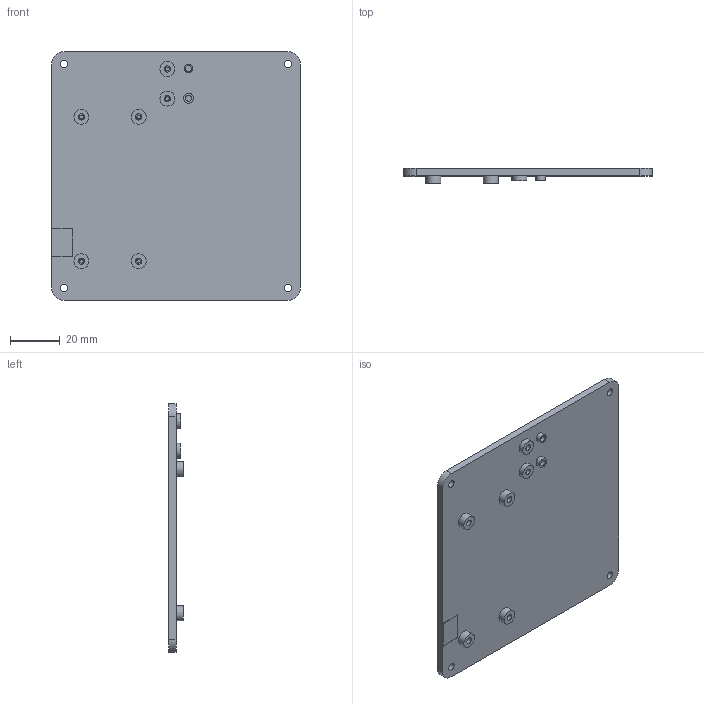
import cadquery as cq

PLATE_SIZE = 100.0
PLATE_THICKNESS = 3.0
CORNER_RADIUS = 5.0
MOUNT_HOLE_INSET = 5.0
MOUNT_HOLE_DIAMETER = 3.0

BOSS_DIAMETER = 6.0
BOSS_HOLE_DIAMETER = 2.5
BOSS_PILOT_DIAMETER = 1.5
TALL_BOSS_HEIGHT = 3.0
LOW_BOSS_HEIGHT = 2.0
PILOT_DEPTH = 1.0

BOARD_LEFT = -38.0
BOARD_TOP = 23.75
BOARD_HOLE_SPACING_X = 23.0
BOARD_HOLE_SPACING_Z = 58.0

LOW_BOSS_X = -3.45
LOW_BOSS_UPPER_Z = 43.0
LOW_BOSS_LOWER_Z = 31.1
RING_X = 5.05
UPPER_RING_Z = 43.15
LOWER_RING_Z = 31.25
UPPER_RING_DIAMETER = 3.5
LOWER_RING_DIAMETER = 4.0
RING_BORE = 2.5

PAD_WIDTH = 8.4
PAD_HEIGHT = 11.0
PAD_THICKNESS = 0.2
PAD_CENTER_Z = -26.75


def cylinder(x, z, diameter, y_start, y_end):
    """Cylinder along Y between two Y positions."""
    length = y_end - y_start
    return cq.Workplane(
        cq.Solid.makeCylinder(diameter / 2, length, cq.Vector(x, y_start, z), cq.Vector(0, 1, 0))
    )


def make_plate():
    plate = (
        cq.Workplane("XY")
        .box(PLATE_SIZE, PLATE_THICKNESS, PLATE_SIZE)
        .translate((0, PLATE_THICKNESS / 2, 0))
        .edges("|Y")
        .fillet(CORNER_RADIUS)
    )
    offset = PLATE_SIZE / 2 - MOUNT_HOLE_INSET
    for x in (-offset, offset):
        for z in (-offset, offset):
            plate = plate.cut(cylinder(x, z, MOUNT_HOLE_DIAMETER, 0, PLATE_THICKNESS))
    return plate


def make_pad():
    """Thin raised pad whose outer side is flush with the left edge of the plate."""
    center_x = (PAD_WIDTH - PLATE_SIZE) / 2
    pad = cq.Workplane("XY").box(PAD_WIDTH, PAD_THICKNESS, PAD_HEIGHT)
    return pad.translate((center_x, -PAD_THICKNESS / 2, PAD_CENTER_Z))


def add_boss(body, x, z, height):
    """Boss with a bore down to the plate and a narrower blind pilot below it."""
    body = body.union(cylinder(x, z, BOSS_DIAMETER, -height, 0))
    body = body.cut(cylinder(x, z, BOSS_HOLE_DIAMETER, -height, 0))
    return body.cut(cylinder(x, z, BOSS_PILOT_DIAMETER, 0, PILOT_DEPTH))


def add_ring(body, z, diameter):
    """Low ring with a bore down to the plate."""
    body = body.union(cylinder(RING_X, z, diameter, -LOW_BOSS_HEIGHT, 0))
    return body.cut(cylinder(RING_X, z, RING_BORE, -LOW_BOSS_HEIGHT, 0))


result = make_plate().union(make_pad())

for boss_x in (BOARD_LEFT, BOARD_LEFT + BOARD_HOLE_SPACING_X):
    for boss_z in (BOARD_TOP, BOARD_TOP - BOARD_HOLE_SPACING_Z):
        result = add_boss(result, boss_x, boss_z, TALL_BOSS_HEIGHT)

for boss_z in (LOW_BOSS_UPPER_Z, LOW_BOSS_LOWER_Z):
    result = add_boss(result, LOW_BOSS_X, boss_z, LOW_BOSS_HEIGHT)

result = add_ring(result, UPPER_RING_Z, UPPER_RING_DIAMETER)
result = add_ring(result, LOWER_RING_Z, LOWER_RING_DIAMETER)